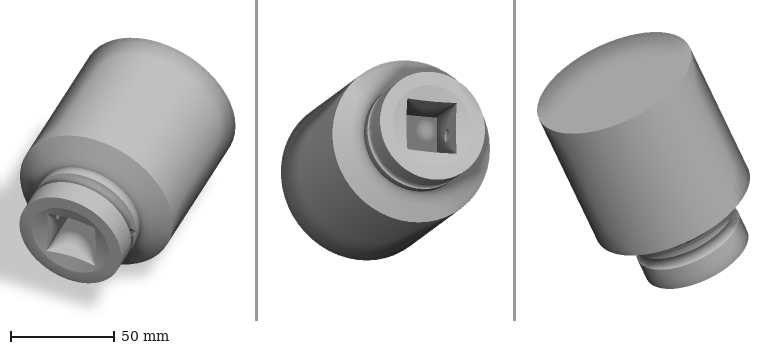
import cadquery as cq
import math

length = 105.0
body_diameter = 81.0
neck_diameter = 54.0
neck_length = 23.0
body_start = 30.7

groove_center = 14.9
groove_radius = 3.3
groove_depth = 2.7
pin_hole_diameter = 6.5

drive_size = 25.4
drive_depth = 29.4
lead_in_diameter = 40.6
lead_in_slope = 15.0


def make_body():
    """Revolve the neck, shoulder and body outline about the Y axis."""
    body_radius = body_diameter / 2
    neck_radius = neck_diameter / 2
    return (
        cq.Workplane("XY")
        .lineTo(neck_radius, 0)
        .lineTo(neck_radius, neck_length)
        .lineTo(body_radius, body_start)
        .lineTo(body_radius, length)
        .lineTo(0, length)
        .close()
        .revolve(360, (0, 0), (0, 1))
    )


def make_ring_groove():
    """Ring of circular section that cuts the groove around the neck."""
    section_center = neck_diameter / 2 - groove_depth + groove_radius
    return (
        cq.Workplane("XY")
        .center(section_center, groove_center)
        .circle(groove_radius)
        .revolve(360, (-section_center, 0), (-section_center, 1))
    )


def make_pin_hole():
    """Cylinder along X that crosses the whole neck."""
    return (
        cq.Workplane("YZ")
        .center(groove_center, 0)
        .circle(pin_hole_diameter / 2)
        .extrude(neck_diameter / 2, both=True)
    )


def make_drive_square():
    """Blind square pocket, running in from the front face."""
    return cq.Workplane("XZ").rect(drive_size, drive_size).extrude(-drive_depth)


def make_lead_in():
    """Cone that widens the mouth of the drive square."""
    mouth_radius = lead_in_diameter / 2
    cone_depth = mouth_radius * math.tan(math.radians(lead_in_slope))
    return (
        cq.Workplane("XY")
        .lineTo(mouth_radius, 0)
        .lineTo(0, cone_depth)
        .close()
        .revolve(360, (0, 0), (0, 1))
    )


result = (
    make_body()
    .cut(make_ring_groove())
    .cut(make_pin_hole())
    .cut(make_drive_square())
    .cut(make_lead_in())
)